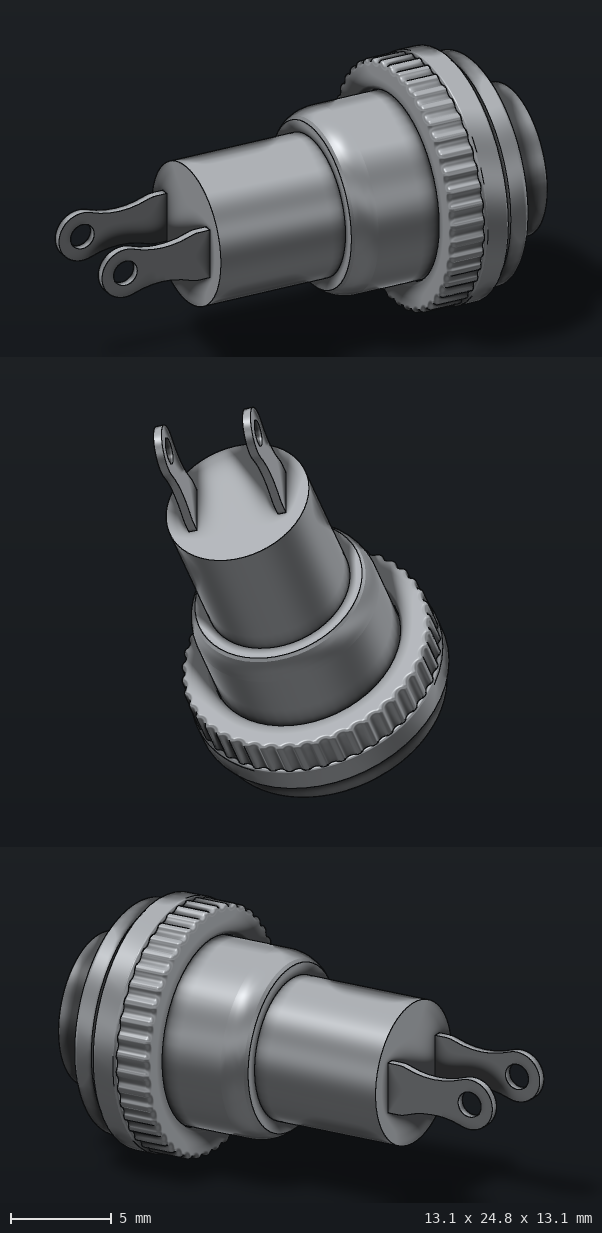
import cadquery as cq
import math

total_length = 24.8
front_height = 3.77

button_radius = 3.93
button_dome_radius = 12.9
button_edge_fillet = 0.15

bezel_radius = 6.03
bezel_dome_radius = 17.85
bezel_dome_height = 2.03
bezel_edge_fillet = 0.25
barrel_radius = 4.84
barrel_length = 8.04
barrel_round_radius = 2.03
barrel_chamfer = 0.15
barrel_round_length = 1.15
tube_radius = 3.708
tube_end = 15.0

terminal_spacing = 4.61
terminal_thickness = 0.42
terminal_half_width = 1.31
terminal_root_length = 0.6
terminal_waist_radius = 4.46
terminal_hole_radius = 0.657
terminal_tip = total_length - front_height
eye_center = terminal_tip - terminal_half_width

nut_front = 0.35
nut_length = 3.15
bore_clearance = 0.05
bore_radius = barrel_radius + bore_clearance
flange_length = 1.35
flange_radius = 6.535
flange_fillet = 0.15
grip_radius = 6.46
nut_end_fillet = 0.22
flute_count = 44
flute_depth = 0.16
flute_radius = 0.4
flute_edge_radius = 0.22


def polar(radius, angle):
    return (radius * math.cos(angle), radius * math.sin(angle))


def cylinder(radius, front, rear):
    """Solid cylinder on the Y axis between two depths behind the bezel underside."""
    return cq.Workplane("XZ", origin=(0, -front, 0)).circle(radius).extrude(rear - front)


def dome_drop(dome_radius, radius):
    """How far a dome falls from its apex to the given radius."""
    return dome_radius - math.sqrt(dome_radius**2 - radius**2)


button_seat = bezel_dome_height - dome_drop(bezel_dome_radius, button_radius)


def domed_disc(radius, base, apex, dome_radius, edge_fillet):
    """Disc on the Y axis with a flat base, a spherical front and a rounded front edge."""
    edge = apex - dome_drop(dome_radius, radius)
    half_radius = radius / 2
    disc = (
        cq.Workplane("XY")
        .moveTo(0, base)
        .lineTo(radius, base)
        .lineTo(radius, edge)
        .threePointArc((half_radius, apex - dome_drop(dome_radius, half_radius)), (0, apex))
        .close()
        .revolve(360, (0, 0, 0), (0, 1, 0))
    )
    return disc.faces("%CYLINDER").edges(">Y").fillet(edge_fillet)


def make_button():
    return domed_disc(button_radius, button_seat, front_height, button_dome_radius, button_edge_fillet)


def make_barrel():
    """Cylinder whose rear end curves inward and finishes in a small chamfer."""
    round_start = barrel_length - barrel_chamfer - barrel_round_length
    round_angle = math.asin(barrel_round_length / barrel_round_radius)
    center_radius = barrel_radius - barrel_round_radius

    def round_point(angle):
        offset_radius, offset_depth = polar(barrel_round_radius, angle)
        return (center_radius + offset_radius, -round_start - offset_depth)

    round_end = round_point(round_angle)
    return (
        cq.Workplane("XY")
        .lineTo(barrel_radius, 0)
        .lineTo(barrel_radius, -round_start)
        .threePointArc(round_point(round_angle / 2), round_end)
        .lineTo(round_end[0] - barrel_chamfer, -barrel_length)
        .lineTo(0, -barrel_length)
        .close()
        .revolve(360, (0, 0, 0), (0, 1, 0))
    )


def make_terminal(x_center):
    """Flat tag whose waist arcs run tangent into equal arcs at the root and the eye."""
    root_center = tube_end + terminal_root_length
    waist_center = (root_center + eye_center) / 2
    half_span = (eye_center - root_center) / 2
    waist_offset = math.sqrt((terminal_half_width + terminal_waist_radius) ** 2 - half_span**2)
    neck = waist_offset - terminal_waist_radius
    tangent_angle = math.atan2(waist_offset, half_span)
    mid_angle = (tangent_angle + math.pi / 2) / 2

    def edge_point(center, direction, angle, side):
        """Point on the root or eye circle; direction 1 leans to the tip, -1 to the tube."""
        along, across = polar(terminal_half_width, angle)
        return (-center - direction * along, side * across)

    root_bottom = edge_point(root_center, 1, tangent_angle, -1)
    root_top = edge_point(root_center, 1, tangent_angle, 1)
    eye_bottom = edge_point(eye_center, -1, tangent_angle, -1)
    eye_top = edge_point(eye_center, -1, tangent_angle, 1)

    return (
        cq.Workplane("YZ", origin=(x_center - terminal_thickness / 2, 0, 0))
        .moveTo(-tube_end, terminal_half_width)
        .lineTo(-root_center, terminal_half_width)
        .threePointArc(edge_point(root_center, 1, mid_angle, 1), root_top)
        .threePointArc((-waist_center, neck), eye_top)
        .threePointArc((-terminal_tip, 0), eye_bottom)
        .threePointArc((-waist_center, -neck), root_bottom)
        .threePointArc(edge_point(root_center, 1, mid_angle, -1), (-root_center, -terminal_half_width))
        .lineTo(-tube_end, -terminal_half_width)
        .close()
        .moveTo(-eye_center, 0)
        .circle(terminal_hole_radius)
        .extrude(terminal_thickness)
    )


def make_housing():
    bezel = domed_disc(bezel_radius, 0, bezel_dome_height, bezel_dome_radius, bezel_edge_fillet)
    housing = bezel.cut(cylinder(button_radius, -bezel_dome_height, -button_seat))
    housing = housing.union(make_barrel()).union(cylinder(tube_radius, 0, tube_end))
    for side in (-1, 1):
        housing = housing.union(make_terminal(side * terminal_spacing / 2))
    return housing


def make_grip(front, rear):
    """Fluted prism: each flute arc runs through an edge arc into the crest."""
    flute_center = grip_radius - flute_depth + flute_radius
    edge_center = grip_radius - flute_edge_radius
    center_distance = flute_radius + flute_edge_radius
    edge_angle = math.acos(
        (flute_center**2 + edge_center**2 - center_distance**2) / (2 * flute_center * edge_center)
    )
    edge_x, edge_y = polar(edge_center, edge_angle)
    share = flute_radius / center_distance
    joint_x = flute_center + share * (edge_x - flute_center)
    joint_y = share * edge_y
    joint_radius = math.hypot(joint_x, joint_y)
    joint_angle = math.atan2(joint_y, joint_x)
    joint_direction = math.atan2(joint_y - edge_y, joint_x - edge_x)
    mid_direction = (joint_direction + edge_angle) / 2
    mid_x = edge_x + flute_edge_radius * math.cos(mid_direction)
    mid_y = edge_y + flute_edge_radius * math.sin(mid_direction)
    mid_radius = math.hypot(mid_x, mid_y)
    mid_angle = math.atan2(mid_y, mid_x)

    pitch = 2 * math.pi / flute_count
    outline = cq.Workplane("XZ", origin=(0, -front, 0)).moveTo(*polar(joint_radius, -joint_angle))
    for index in range(flute_count):
        flute = index * pitch
        following = flute + pitch
        outline = (
            outline.threePointArc(
                polar(grip_radius - flute_depth, flute), polar(joint_radius, flute + joint_angle)
            )
            .threePointArc(polar(mid_radius, flute + mid_angle), polar(grip_radius, flute + edge_angle))
            .threePointArc(
                polar(grip_radius, flute + pitch / 2), polar(grip_radius, following - edge_angle)
            )
            .threePointArc(
                polar(mid_radius, following - mid_angle), polar(joint_radius, following - joint_angle)
            )
        )
    return outline.close().extrude(rear - front)


def make_nut():
    flange_end = nut_front + flange_length
    nut_rear = nut_front + nut_length
    flange = cylinder(flange_radius, nut_front, flange_end).edges("%CIRCLE").fillet(flange_fillet)
    nut = flange.union(make_grip(flange_end, nut_rear))
    nut = nut.cut(cylinder(bore_radius, nut_front, nut_rear))
    return nut.faces("<Y").edges().fillet(nut_end_fillet)


button = make_button()
housing = make_housing()
nut = make_nut()

result = cq.Compound.makeCompound([housing.val(), button.val(), nut.val()])